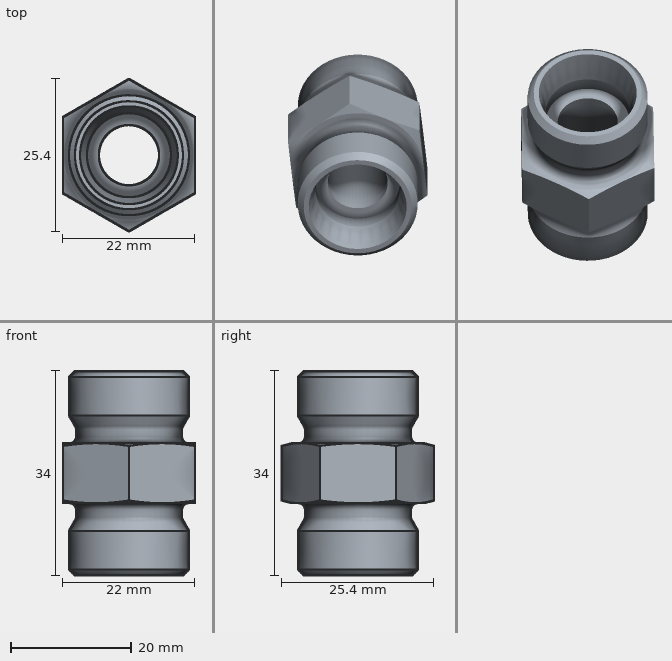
import cadquery as cq
import math

total_length = 34.0
half_length = total_length / 2

hex_sides = 6
hex_across_flats = 22.0
hex_length = 10.0
hex_chamfer_angle = 15.0

thread_radius = 10.0
thread_chamfer = 1.0

neck_radius = 17.7 / 2
undercut_width = 4.6
undercut_fillet = 1.0
undercut_taper_angle = 30.0

through_radius = 5.0
socket_radius = 7.0
socket_depth = 8.0
cone_mouth_radius = 16.3 / 2
cone_half_angle = 12.0

hex_half_length = hex_length / 2
hex_flat_radius = hex_across_flats / 2
hex_half_sector = 180 / hex_sides
hex_corner_radius = hex_flat_radius / math.cos(math.radians(hex_half_sector))
cone_depth = (cone_mouth_radius - socket_radius) / math.tan(math.radians(cone_half_angle))


def revolve_profile(profile):
    """Revolve a closed radius-height outline a full turn about the Z axis."""
    return profile.revolve(360, (0, 0, 0), (0, 1, 0))


def mirrored_pair(upper):
    """Return the upper body together with its mirror image below the XY plane."""
    return upper.union(upper.mirror("XY"))


def make_hexagon():
    """Hexagonal prism with its corners turned off by a shallow cone at both ends."""
    prism = (
        cq.Workplane("XY")
        .polygon(hex_sides, 2 * hex_corner_radius)
        .extrude(hex_half_length, both=True)
        .rotate((0, 0, 0), (0, 0, 1), hex_half_sector)
    )
    corner_drop = (hex_corner_radius - hex_flat_radius) * math.tan(math.radians(hex_chamfer_angle))
    corner_height = hex_half_length - corner_drop
    envelope = revolve_profile(
        cq.Workplane("XZ")
        .moveTo(0, -hex_half_length)
        .lineTo(hex_flat_radius, -hex_half_length)
        .lineTo(hex_corner_radius, -corner_height)
        .lineTo(hex_corner_radius, corner_height)
        .lineTo(hex_flat_radius, hex_half_length)
        .lineTo(0, hex_half_length)
        .close()
    )
    return prism.intersect(envelope)


def make_threaded_end():
    """Upper threaded end with its filleted, tapered undercut, from mid length to the end face."""
    taper = math.radians(undercut_taper_angle)
    fillet_centre_radius = neck_radius + undercut_fillet
    undercut_top = hex_half_length + undercut_width

    arc_end_radius = fillet_centre_radius - undercut_fillet * math.cos(taper)
    arc_end_height = undercut_top - (thread_radius - arc_end_radius) / math.tan(taper)
    arc_start_height = arc_end_height - undercut_fillet * math.sin(taper)

    return revolve_profile(
        cq.Workplane("XZ")
        .lineTo(fillet_centre_radius, 0)
        .lineTo(fillet_centre_radius, hex_half_length)
        .radiusArc((neck_radius, hex_half_length + undercut_fillet), undercut_fillet)
        .lineTo(neck_radius, arc_start_height)
        .radiusArc((arc_end_radius, arc_end_height), undercut_fillet)
        .lineTo(thread_radius, undercut_top)
        .lineTo(thread_radius, half_length - thread_chamfer)
        .lineTo(thread_radius - thread_chamfer, half_length)
        .lineTo(0, half_length)
        .close()
    )


def make_bore():
    """Upper half of the bore: through hole, flat-bottomed tube socket and conical mouth."""
    return revolve_profile(
        cq.Workplane("XZ")
        .lineTo(through_radius, 0)
        .lineTo(through_radius, half_length - socket_depth)
        .lineTo(socket_radius, half_length - socket_depth)
        .lineTo(socket_radius, half_length - cone_depth)
        .lineTo(cone_mouth_radius, half_length)
        .lineTo(0, half_length)
        .close()
    )


body = make_hexagon().union(mirrored_pair(make_threaded_end()))
result = body.cut(mirrored_pair(make_bore()))